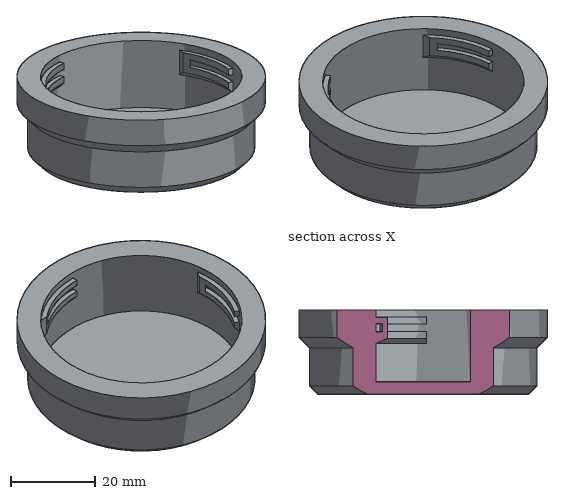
import cadquery as cq

rim_diameter = 59.0
body_diameter = 54.0
bore_diameter = 47.75
height = 20.0
floor_thickness = 3.0
rim_height = 6.5
bottom_chamfer = 2.0

catch_count = 3
catch_depth = 1.25
catch_top = height - 1.7
catch_height = 5.0
catch_side = 17.9
catch_end = 0.8
slot_roof = 1.6
slot_top = catch_top - slot_roof
slot_height = 1.8
slot_wall = 1.1

rim_radius = rim_diameter / 2
body_radius = body_diameter / 2
bore_radius = bore_diameter / 2
catch_radius = bore_radius - catch_depth
wall_radius = (bore_radius + body_radius) / 2


def revolve_profile(points):
    """Revolve a closed (radius, z) outline around Z."""
    return cq.Workplane("XZ").polyline(points).close().revolve(360, (0, 0), (0, 1))


def make_cup():
    rim_bottom = height - rim_height
    step_bottom = rim_bottom - (rim_radius - body_radius)
    return revolve_profile([
        (0, 0),
        (body_radius - bottom_chamfer, 0),
        (body_radius, bottom_chamfer),
        (body_radius, step_bottom),
        (rim_radius, rim_bottom),
        (rim_radius, height),
        (bore_radius, height),
        (bore_radius, floor_thickness),
        (0, floor_thickness),
    ])


def catch_sector(side, bottom, top):
    """Block covering x < -side and y < catch_end between two heights."""
    return cq.Workplane("XY").box(
        rim_radius - side, rim_radius + catch_end, top - bottom, centered=False
    ).translate((-rim_radius, -rim_radius, bottom))


def make_catch():
    inner_bottom = catch_top - catch_height
    outer_bottom = inner_bottom - catch_depth
    ring = revolve_profile([
        (catch_radius, catch_top),
        (wall_radius, catch_top),
        (wall_radius, outer_bottom),
        (bore_radius, outer_bottom),
        (catch_radius, inner_bottom),
    ])
    catch = ring.intersect(catch_sector(catch_side, outer_bottom, catch_top))
    slot_bottom = slot_top - slot_height
    slot_ring = (
        cq.Workplane("XY", origin=(0, 0, slot_bottom)).circle(bore_radius).extrude(slot_height)
    )
    slot = slot_ring.intersect(catch_sector(catch_side + slot_wall, slot_bottom, slot_top))
    return catch.cut(slot)


result = make_cup()
catch = make_catch()
for index in range(catch_count):
    angle = index * 360 / catch_count
    result = result.union(catch.rotate((0, 0, 0), (0, 0, 1), angle))